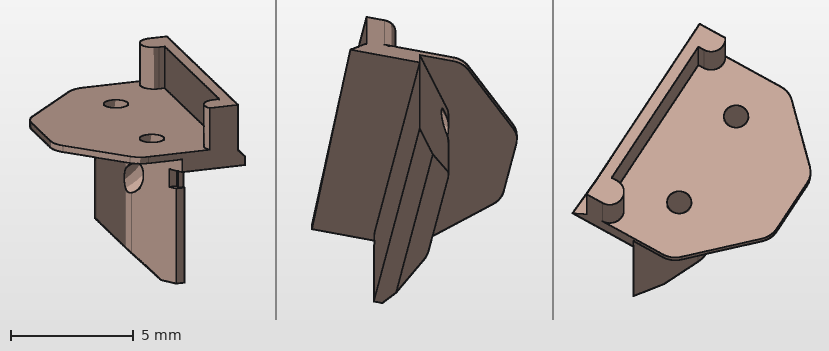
import cadquery as cq

length = 8.9
mid_x = 4.575
full_length = 2 * mid_x

plate_front = 6.995
plate_thickness = 0.285
plate_corner = 2.97
plate_round = 1.0
side_corner_y = plate_front - plate_corner

wall_height = 1.8
wall_thickness = 0.49
post_radius = 0.58
post_center_y = 0.75

block_depth = 0.84
lip_left = 0.68
lip_right = 0.3

leg_back = 2.22
leg_front = 4.005
leg_bottom = 5.705
leg_flank_run = 2.51
leg_round = 0.7
leg_toe_chamfer = 1.0
leg_right = 8.65

notch_bottom = 1.6
notch_left = 8.36
notch_inner = 8.55
notch_floor_y = 2.45

channel_radius = 0.5
channel_x = 2.33
channel_y = 2.99
channel_bend = 2.0


def box(x0, x1, y0, y1, z0, z1):
    """Box between two corners given in model coordinates (the front is toward -Y)."""
    return cq.Workplane("XY").box(x1 - x0, y1 - y0, z1 - z0, centered=False).translate((x0, y0, z0))


def make_plate():
    outline = [
        (0, 0),
        (0, -side_corner_y),
        (plate_corner, -plate_front),
        (full_length - plate_corner, -plate_front),
        (length, -side_corner_y - (full_length - length)),
        (length, 0),
    ]
    plate = cq.Workplane("XY").polyline(outline).close().extrude(-plate_thickness)
    return plate.edges("|Z").edges("not >Y").fillet(plate_round)


def make_wall():
    wall = box(0, length, -wall_thickness, 0, 0, wall_height)
    for x in (post_radius, full_length - post_radius):
        post = cq.Workplane("XY").center(x, -post_center_y).circle(post_radius).extrude(wall_height)
        web = box(x - post_radius, x + post_radius, -post_center_y, 0, 0, wall_height)
        wall = wall.union(post).union(web)
    return wall


def make_block():
    profile = [
        (-leg_back, 0),
        (0, 0),
        (0, lip_left - block_depth),
        (lip_left, -block_depth),
        (-leg_back, -block_depth),
    ]
    block = cq.Workplane("YZ").polyline(profile).close().extrude(length)
    plan = [(0, -leg_back), (0, lip_left), (length, lip_right), (length, -leg_back)]
    return block.intersect(cq.Workplane("XY").polyline(plan).close().extrude(-block_depth))


def make_leg():
    plan = [
        (0, -leg_back),
        (leg_flank_run, -leg_front),
        (full_length - leg_flank_run, -leg_front),
        (full_length, -leg_back),
    ]
    leg = cq.Workplane("XY").polyline(plan).close().extrude(-leg_bottom)
    leg = leg.edges("|Z and <Y").fillet(leg_round)
    toe = [
        (-leg_front, -leg_bottom),
        (-leg_front, leg_toe_chamfer - leg_bottom),
        (leg_toe_chamfer - leg_front, -leg_bottom),
    ]
    leg = leg.cut(cq.Workplane("YZ").polyline(toe).close().extrude(full_length))
    leg = leg.cut(box(leg_right, full_length, -leg_front, 0, -leg_bottom, -block_depth))
    leg = leg.cut(box(notch_left, full_length, -leg_front, -notch_floor_y, -notch_bottom, -block_depth))
    return leg.cut(box(notch_inner, full_length, -leg_front, 0, -notch_bottom, -block_depth))


def make_channel(x):
    """Quarter-circle bend that starts vertical at the plate top and leaves through the leg flank."""
    mouth = cq.Workplane("XY").center(x, -channel_y).circle(channel_radius)
    return mouth.revolve(90, (0, -channel_bend), (-1, -channel_bend))


result = make_plate().union(make_block()).union(make_wall()).union(make_leg())
result = result.intersect(box(0, length, -plate_front, lip_left, -leg_bottom, wall_height))
for x in (channel_x, full_length - channel_x):
    result = result.cut(make_channel(x))